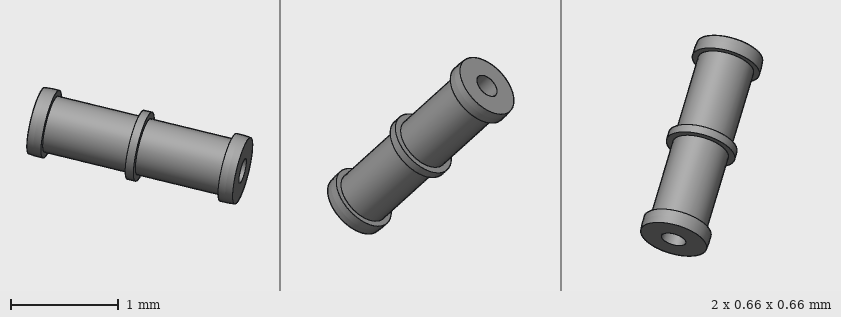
import cadquery as cq

length = 2.0
barrel_diameter = 0.535
collar_diameter = 0.66
collar_width = 0.08
flange_diameter = 0.648
flange_width = 0.14
rim_diameter = 0.635
rim_width = 0.068
bore_diameter = 0.235

half_length = length / 2


def disc(start_x, width, diameter):
    """Cylinder on the X axis, running from start_x toward +X."""
    return cq.Workplane("YZ", origin=(start_x, 0, 0)).circle(diameter / 2).extrude(width)


def left_flange():
    """End flange: a tapered rim followed by a straight band."""
    straight_start = -half_length + rim_width
    profile = (
        cq.Workplane("XY")
        .moveTo(-half_length, 0)
        .lineTo(-half_length, rim_diameter / 2)
        .lineTo(straight_start, flange_diameter / 2)
        .lineTo(-half_length + flange_width, flange_diameter / 2)
        .lineTo(-half_length + flange_width, 0)
        .close()
    )
    return profile.revolve(360, (0, 0, 0), (1, 0, 0))


barrel = disc(-half_length, length, barrel_diameter)
collar = disc(-collar_width / 2, collar_width, collar_diameter)
flange = left_flange()
bore = disc(-half_length, length, bore_diameter)

result = barrel.union(collar).union(flange).union(flange.mirror("YZ")).cut(bore)